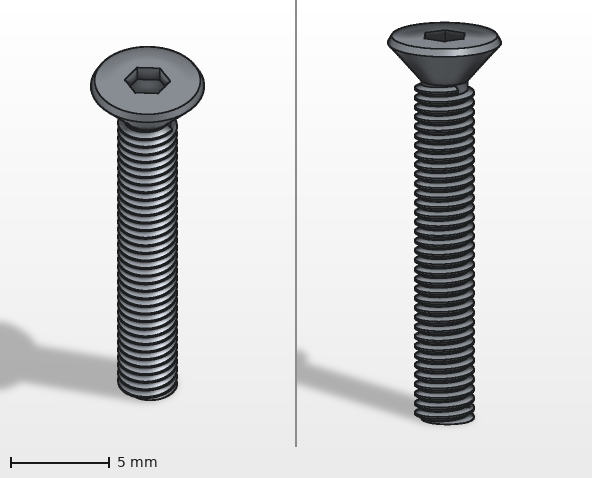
import cadquery as cq
import math

length = 20.0
head_diameter = 5.75

top_face_diameter = 5.35
rim_height = 0.35
head_height = 2.3

socket_across_flats = 2.0
socket_depth = 0.78

major_diameter = 3.0
root_diameter = 2.38
pitch = 0.5
flank_angle = 30.0
crest_width = 0.1
crest_start_z = -0.58
thread_turns = 36
root_overlap = 0.03

head_radius = head_diameter / 2
root_radius = root_diameter / 2
crest_radius = major_diameter / 2


def make_screw_blank():
    """Revolve the core and the bevelled, countersunk head around Z."""
    return (
        cq.Workplane("XZ")
        .lineTo(root_radius, 0)
        .lineTo(root_radius, length - head_height)
        .lineTo(head_radius, length - rim_height)
        .lineTo(top_face_diameter / 2, length)
        .lineTo(0, length)
        .close()
        .revolve(360, (0, 0), (0, 1))
    )


def make_thread():
    """Sweep the ridge profile along a helix and trim it flush with the tip."""
    base_radius = root_radius - root_overlap
    half_crest = crest_width / 2
    half_base = half_crest + (crest_radius - base_radius) * math.tan(math.radians(flank_angle))
    helix = cq.Wire.makeHelix(pitch, thread_turns * pitch, root_radius)
    ridge = (
        cq.Workplane("XZ")
        .moveTo(base_radius, -half_base)
        .lineTo(crest_radius, -half_crest)
        .lineTo(crest_radius, half_crest)
        .lineTo(base_radius, half_base)
        .close()
        .sweep(cq.Workplane(obj=helix), isFrenet=True)
        .translate((0, 0, crest_start_z))
    )
    envelope = cq.Workplane("XY").circle(head_radius).extrude(length)
    return ridge.intersect(envelope)


def make_socket():
    """Hexagonal prism sunk into the top face."""
    corner_diameter = socket_across_flats / math.cos(math.pi / 6)
    return (
        cq.Workplane("XY", origin=(0, 0, length - socket_depth))
        .transformed(rotate=(0, 0, 90))
        .polygon(6, corner_diameter)
        .extrude(socket_depth)
    )


result = make_screw_blank().union(make_thread()).cut(make_socket())